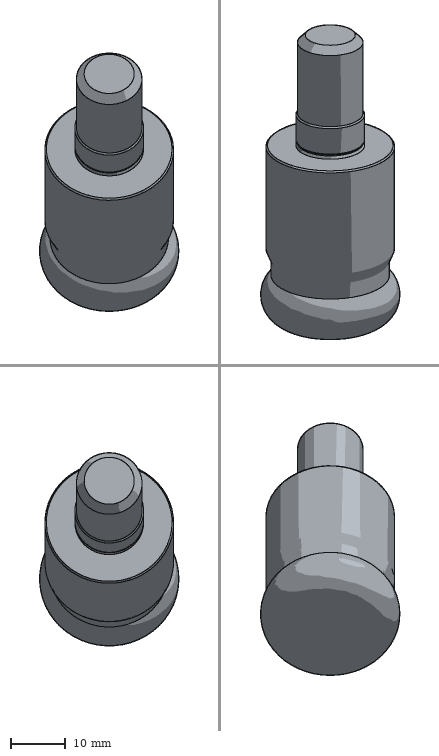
import cadquery as cq
import math

total_height = 57.0

pad_radius = 12.7
pad_round = 5.15
rim_center_radius = pad_radius - pad_round

neck_radius = 10.85
neck_top = 12.15
body_radius = 11.75
body_bottom = 14.35
body_top = 35.0
body_chamfer = 0.3
corner_round = 0.2

stud_radius = 6.0
stud_chamfer = 1.4
collar_radius = 6.25
collar_bottom = 35.75
collar_top = 41.4
collar_chamfer = collar_radius - stud_radius
root_flare = 0.3
root_flare_height = 0.5

seat_angle = math.acos((neck_radius - rim_center_radius) / pad_round)
seat_height = pad_round * (1 + math.sin(seat_angle))


def turn(profile):
    """Revolve a closed half-section in the XZ plane about Z."""
    return profile.close().revolve(360, (0, 0, 0), (0, 1, 0))


def make_pad():
    """Foot pad with a flat sole, a circular rim and a flat seat on top."""
    return turn(
        cq.Workplane("XZ")
        .lineTo(rim_center_radius, 0)
        .radiusArc((pad_radius, pad_round), -pad_round)
        .radiusArc((neck_radius, seat_height), -pad_round)
        .lineTo(0, seat_height)
    )


def make_holder():
    """Neck, cone, cylindrical body and collared stud."""
    holder = turn(
        cq.Workplane("XZ")
        .moveTo(0, seat_height)
        .lineTo(neck_radius, seat_height)
        .lineTo(neck_radius, neck_top)
        .lineTo(body_radius, body_bottom)
        .lineTo(body_radius, body_top - body_chamfer)
        .lineTo(body_radius - body_chamfer, body_top)
        .lineTo(stud_radius + root_flare, body_top)
        .lineTo(stud_radius, body_top + root_flare_height)
        .lineTo(stud_radius, collar_bottom)
        .lineTo(collar_radius, collar_bottom + collar_chamfer)
        .lineTo(collar_radius, collar_top - collar_chamfer)
        .lineTo(stud_radius, collar_top)
        .lineTo(stud_radius, total_height - stud_chamfer)
        .lineTo(stud_radius - stud_chamfer, total_height)
        .lineTo(0, total_height)
    )
    reach = 2 * body_radius
    cone_ends = cq.selectors.BoxSelector(
        (-reach, -reach, neck_top - corner_round),
        (reach, reach, body_bottom + corner_round),
        boundingbox=True,
    )
    return holder.edges("%CIRCLE").edges(cone_ends).fillet(corner_round)


pad = make_pad()
holder = make_holder()

result = cq.Compound.makeCompound([pad.val(), holder.val()])